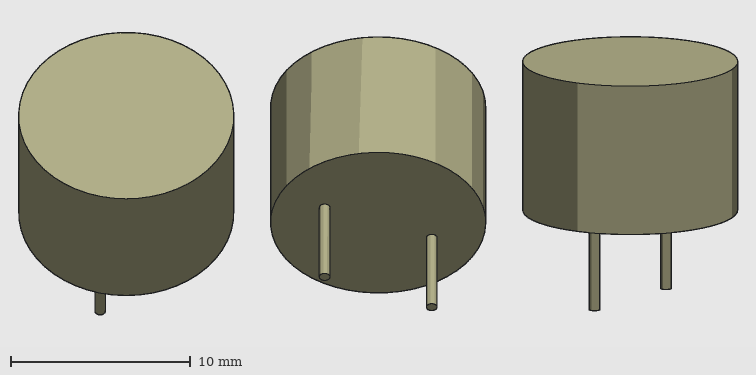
import cadquery as cq

total_height = 13.6
housing_diameter = 12.0
housing_height = 8.5

pin_diameter = 0.6
pin_length = total_height - housing_height
pin_spacing = 6.5


def make_housing():
    """Plain round housing standing on the XY plane."""
    return cq.Workplane("XY").circle(housing_diameter / 2).extrude(housing_height)


def make_pin(y):
    """Straight round lead hanging from the housing's underside at the given Y."""
    return cq.Workplane("XY").center(0, y).circle(pin_diameter / 2).extrude(-pin_length)


housing = make_housing()
pins = [make_pin(side * pin_spacing / 2) for side in (-1, 1)]

result = cq.Compound.makeCompound([housing.val(), *[pin.val() for pin in pins]])